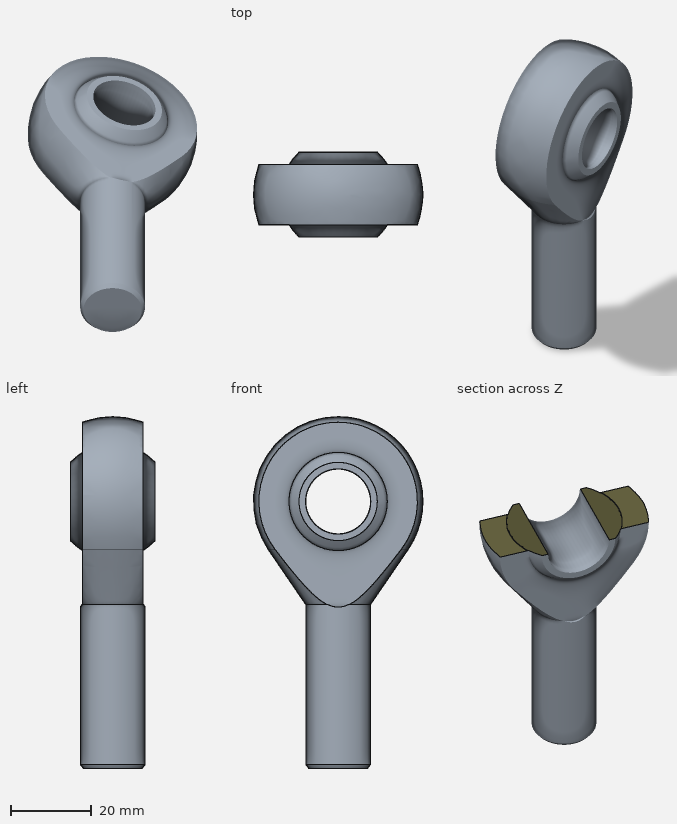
import cadquery as cq
import math

total_length = 87.0
head_radius = 21.0
head_width = 15.0
shank_radius = 8.0
end_chamfer_width = 0.8
end_chamfer_height = 1.05
neck_tangent_drop = 11.8
flat_tip_drop = 26.1
flat_tip_radius = 5.5

ball_radius = 14.3
ball_width = 21.0
bore_radius = 8.0

shank_end_z = head_radius - total_length
neck_tangent_radius = math.sqrt(head_radius**2 - neck_tangent_drop**2)
neck_slope = neck_tangent_drop / neck_tangent_radius
neck_end_drop = neck_tangent_drop + (neck_tangent_radius - shank_radius) / neck_slope


def make_blank():
    """Spherical head, tangent neck cone and chamfered shank, turned about Z."""
    profile = (
        cq.Workplane("XZ")
        .moveTo(0, head_radius)
        .threePointArc((head_radius, 0), (neck_tangent_radius, -neck_tangent_drop))
        .lineTo(shank_radius, -neck_end_drop)
        .lineTo(shank_radius, shank_end_z + end_chamfer_height)
        .lineTo(shank_radius - end_chamfer_width, shank_end_z)
        .lineTo(0, shank_end_z)
        .close()
    )
    return profile.revolve(360, (0, 0, 0), (0, 1, 0))


def make_side_cutter(side):
    """Material beyond one side flat; its lower tip makes a small rounded ledge in the shank."""
    depth = head_radius
    middle_y = side * (head_width / 2 + depth / 2)
    height = 2 * head_radius + neck_end_drop
    block = (
        cq.Workplane("XY")
        .box(3 * head_radius, depth, height)
        .translate((0, middle_y, height / 2 - neck_end_drop))
    )
    tip = (
        cq.Workplane("XZ")
        .center(0, flat_tip_radius - flat_tip_drop)
        .circle(flat_tip_radius)
        .extrude(depth / 2, both=True)
        .translate((0, middle_y, 0))
    )
    return block.union(tip)


def make_truncated_ball(inner_radius):
    """Sphere truncated by two flat faces, with an optional through bore, turned about Y."""
    face_radius = math.sqrt(ball_radius**2 - (ball_width / 2) ** 2)
    profile = (
        cq.Workplane("XY")
        .moveTo(inner_radius, -ball_width / 2)
        .lineTo(face_radius, -ball_width / 2)
        .threePointArc((ball_radius, 0), (face_radius, ball_width / 2))
        .lineTo(inner_radius, ball_width / 2)
        .close()
    )
    return profile.revolve(360, (0, 0, 0), (0, 1, 0))


def make_housing():
    """Head with flat sides, a spherical seat for the ball, and the shank."""
    body = make_blank()
    for side in (-1, 1):
        body = body.cut(make_side_cutter(side))
    return body.cut(make_truncated_ball(0))


def make_ball():
    """Pivot ball with a through bore."""
    return make_truncated_ball(bore_radius)


housing = make_housing()
ball = make_ball()

result = cq.Compound.makeCompound([housing.val(), ball.val()])